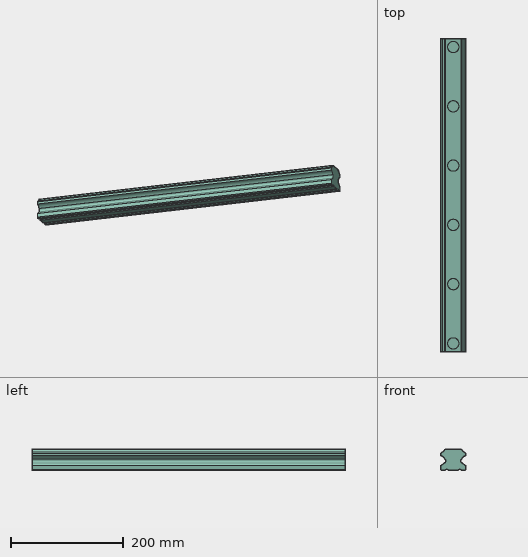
import cadquery as cq

width = 45.0
length = 555.0
height = 38.0
half_width = width / 2

top_half_width = 14.0
top_edge_drop = 1.0
neck_half_width = 15.5
shoulder_half_width = 19.5
shoulder_height = 33.0
head_flank_top = 30.0
head_flank_bottom = 26.0

upper_track_sag = 0.85
lower_track_sag = 1.0

groove_top = 20.0
groove_top_half_width = 15.0
groove_middle_height = 16.5
groove_middle_half_width = 13.5
groove_bottom = 13.5
groove_bottom_half_width = 15.5

foot_flank_top = 8.5
foot_chamfer = 1.5

relief_inner = 8.5
relief_outer = 15.0
relief_depth = 1.5

cap_count = 6
cap_diameter = 20.0
end_margin = 15.0
cap_pitch = (length - 2 * end_margin) / (cap_count - 1)
cap_recess = 0.1


def make_rail():
    """Extrude one half of the symmetric section along Y and mirror it across X = 0."""
    half = (
        cq.Workplane("XZ", origin=(0, length / 2, 0))
        .moveTo(0, 0)
        .lineTo(relief_inner, 0)
        .sagittaArc((relief_outer, 0), relief_depth)
        .lineTo(half_width - foot_chamfer, 0)
        .lineTo(half_width, foot_chamfer)
        .lineTo(half_width, foot_flank_top)
        .lineTo(groove_bottom_half_width, groove_bottom)
        .threePointArc(
            (groove_middle_half_width, groove_middle_height),
            (groove_top_half_width, groove_top),
        )
        .sagittaArc((half_width, head_flank_bottom), lower_track_sag)
        .lineTo(half_width, head_flank_top)
        .lineTo(shoulder_half_width, shoulder_height)
        .sagittaArc((neck_half_width, height - top_edge_drop), upper_track_sag)
        .lineTo(top_half_width, height)
        .lineTo(0, height)
        .close()
        .extrude(length)
    )
    return half.union(half.mirror("YZ"))


def make_cap_recesses():
    """Row of shallow round recesses centred along the top face."""
    return (
        cq.Workplane("XY", origin=(0, 0, height - cap_recess))
        .rarray(5.5, cap_pitch, 1, cap_count)
        .circle(cap_diameter / 2)
        .extrude(cap_recess)
    )


result = make_rail().cut(make_cap_recesses())